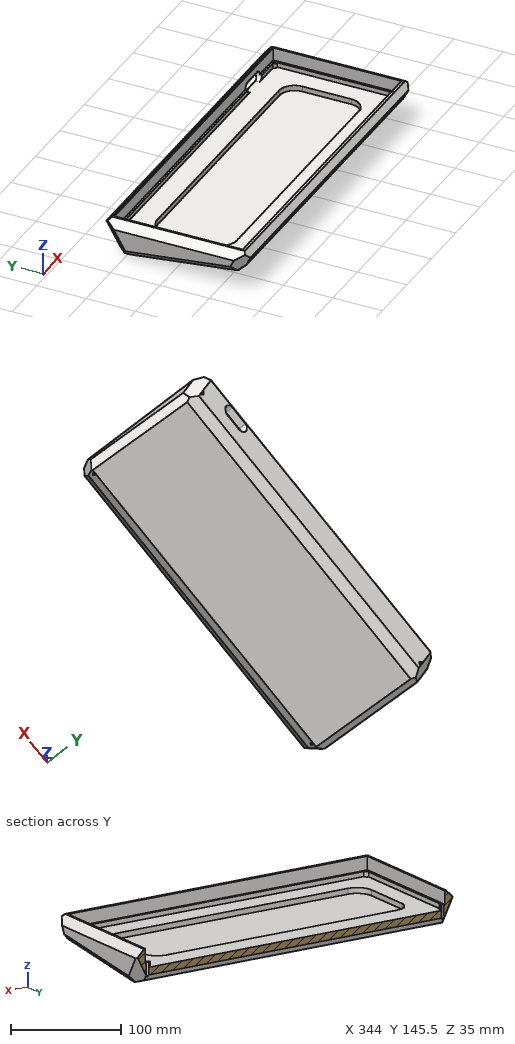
import cadquery as cq

length = 344.0
height = 35.0
width = 145.5
rim_z = height - 7.2

back_top = (66.0, height)
back_rim = (width / 2, rim_z)
back_foot = (58.8, 4.0)
base_back = (47.5, 0)
base_front = (-61.2, 12.7)
front_foot = (-68.5, 19.0)
front_rim = (-width / 2, rim_z)
front_top = (-68.0, height)

top_bevel = 8.0
wall_bevel = 10.3
base_bevel = 7.5

cavity_length = 324.5
cavity_front_y = -65.5
cavity_back_y = 64.3
ledge_depth = 13.0
ledge_width = 2.25
floor_depth = 18.0

recess_length = 280.5
recess_width = 80.5
recess_depth = 5.5
recess_radius = 15.5

boss_diameter = 6.2
screw_diameter = 2.0

slot_x = 120.5
slot_length = 29.2
slot_height = 10.0

floor_z = height - floor_depth
ledge_z = height - ledge_depth
cavity_y = (cavity_front_y + cavity_back_y) / 2
cavity_width = cavity_back_y - cavity_front_y
well_length = cavity_length - 2 * ledge_width
well_width = cavity_width - 2 * ledge_width


def end_bevel(start, end, setback):
    """Cutter for the edge where the profile face from start to end meets the +X end.

    The profile runs clockwise seen from +X, so the outside is on the left of each face.
    """
    direction = cq.Vector(0, start[0] - end[0], start[1] - end[1])
    plane = cq.Plane(origin=(length / 2, *start), xDir=(1, 0, 0), normal=direction)
    reach = 2 * setback
    triangle = [(-reach, setback), (setback, -reach), (setback, setback)]
    corner = cq.Workplane(plane).polyline(triangle).close()
    return corner.extrude(width, both=True)


def shell():
    """Wedge-shaped prism with bevels all round both ends."""
    profile = [
        front_top, back_top, back_rim, back_foot,
        base_back, base_front, front_foot, front_rim,
    ]
    wedge = cq.Workplane("YZ").polyline(profile).close().extrude(length / 2, both=True)
    bevelled_faces = [
        (front_top, back_top, top_bevel),
        (back_rim, back_foot, wall_bevel),
        (base_back, base_front, base_bevel),
        (front_foot, front_rim, wall_bevel),
    ]
    for start, end, setback in bevelled_faces:
        cutter = end_bevel(start, end, setback)
        wedge = wedge.cut(cutter).cut(cutter.mirror("YZ"))
    return wedge


def block(size_x, size_y, bottom_z, top_z):
    """Rectangular block centred on the cavity."""
    plane = cq.Workplane("XY", origin=(0, cavity_y, bottom_z))
    return plane.rect(size_x, size_y).extrude(top_z - bottom_z)


def corner_cylinders(diameter, bottom_z, top_z):
    """Upright cylinders on the four corners of the well."""
    plane = cq.Workplane("XY", origin=(0, cavity_y, bottom_z))
    corners = plane.rect(well_length, well_width, forConstruction=True).vertices()
    return corners.circle(diameter / 2).extrude(top_z - bottom_z)


def cavity():
    """Open tray, stepped well with corner bosses left standing, and floor recess."""
    tray = block(cavity_length, cavity_width, ledge_z, height)
    well = block(well_length, well_width, floor_z, ledge_z)
    well = well.cut(corner_cylinders(boss_diameter, floor_z, ledge_z))
    recess = block(recess_length, recess_width, floor_z - recess_depth, floor_z)
    recess = recess.edges("|Z").fillet(recess_radius)
    return tray.union(well).union(recess)


def cable_slot():
    """Round-ended slot, level with the floor, running out through the back wall."""
    well_back_y = cavity_y + well_width / 2
    slot_z = floor_z + slot_height / 2
    plane = cq.Workplane("XZ", origin=(slot_x, well_back_y, slot_z))
    return plane.slot2D(slot_length, slot_height).extrude(-width / 2)


result = shell().cut(cavity()).cut(cable_slot())
result = result.cut(corner_cylinders(screw_diameter, 0, ledge_z))